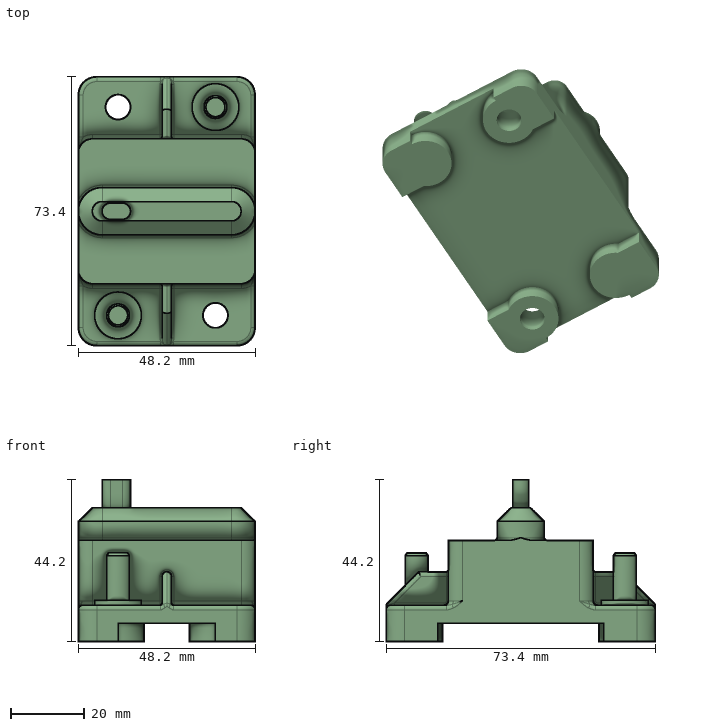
import cadquery as cq

width = 48.2
length = 73.4
base_top = 10.0
base_corner_radius = 5.0
edge_radius = 1.25

block_length = 39.5
block_top = 27.7
block_corner_radius = 3.8

ridge_half_width = 6.45
ridge_shoulder_z = 32.8
ridge_top = 36.55
ridge_top_half_width = 2.65
ridge_foot_radius = 0.7

lever_length = 7.8
lever_width = 4.4
lever_top = 44.2
lever_x = ridge_half_width - (width - lever_length) / 2

rib_width = 2.6
rib_top = 19.1
rib_slope_start_y = 27.8
rib_crest_radius = 1.25
rib_foot_radius = 0.6

station_x = 13.3
station_y = 28.4
hole_diameter = 6.75

foot_height = 5.0
foot_inner_y = 22.6
foot_boss_radius = 7.1

stud_diameter = 6.25
stud_top = 24.2
stud_tip_height = 0.7
stud_tip_inset = 0.5
washer_diameter = 12.8
washer_thickness = 1.3

SLACK = 0.04


def edges_within(solid, low_corner, high_corner):
    """Edges of the solid whose centres lie inside a box with a little slack."""
    low = [value - SLACK for value in low_corner]
    high = [value + SLACK for value in high_corner]
    return solid.edges(cq.selectors.BoxSelector(low, high))


def make_base():
    plate = cq.Workplane("XY").box(width, length, base_top, centered=(True, True, False))
    return plate.edges("|Z").fillet(base_corner_radius)


def make_block():
    block = cq.Workplane("XY").box(width, block_length, block_top, centered=(True, True, False))
    return block.edges("|Z").fillet(block_corner_radius)


def make_rib():
    """Rib at the front, its rounded crest level near the block and then falling at 45 degrees to the rim."""
    rib_end = -length / 2
    end_top = rib_top - (length / 2 - rib_slope_start_y)
    rib = (
        cq.Workplane("YZ")
        .polyline([
            (0, foot_height),
            (rib_end, foot_height),
            (rib_end, end_top),
            (-rib_slope_start_y, rib_top),
            (0, rib_top),
        ])
        .close()
        .extrude(rib_width / 2, both=True)
    )
    crest = rib.faces(">Z or (not(<Z or >X or <X or >Y or <Y))").edges("not(|X)")
    return crest.fillet(rib_crest_radius)


def make_ridge():
    """Round-ended ridge with sloping flanks and a flared foot, clipped flush with the block's sides."""
    ridge = (
        cq.Workplane("XY")
        .slot2D(width, 2 * ridge_half_width)
        .extrude(ridge_top)
        .faces(">Z")
        .edges()
        .chamfer(ridge_top - ridge_shoulder_z, ridge_half_width - ridge_top_half_width)
    )
    wide_slab = cq.Workplane("XY").box(2 * width, block_length, block_top, centered=(True, True, False))
    flared = wide_slab.union(ridge)
    foot_line = (0, ridge_half_width, block_top)
    flared = edges_within(flared, foot_line, foot_line).fillet(ridge_foot_radius)
    clip_length = 2 * (ridge_half_width + ridge_foot_radius)
    return flared.intersect(cq.Workplane("XY").box(width, clip_length, 2 * ridge_top))


def make_lever():
    return (
        cq.Workplane("XY")
        .workplane(offset=block_top)
        .center(lever_x, 0)
        .slot2D(lever_length, lever_width)
        .extrude(lever_top - block_top)
    )


def make_underside_clearance():
    """Space under the base, leaving a foot with a round boss at each corner."""
    foot_width = width / 2 - station_x
    foot_length = length / 2 - foot_inner_y
    clearance = cq.Workplane("XY").box(width, length, foot_height, centered=(True, True, False))
    for x_side in (-1, 1):
        for y_side in (-1, 1):
            foot = (
                cq.Workplane("XY")
                .center(x_side * (width - foot_width) / 2, y_side * (length - foot_length) / 2)
                .rect(foot_width, foot_length)
                .extrude(foot_height)
            )
            boss = (
                cq.Workplane("XY")
                .center(x_side * station_x, y_side * station_y)
                .circle(foot_boss_radius)
                .extrude(foot_height)
            )
            clearance = clearance.cut(foot).cut(boss)
    return clearance


def round_block_foot(body):
    """Concave rounding where the front of the block meets the base."""
    y = -block_length / 2
    return edges_within(body, (-width / 4, y, base_top), (width / 4, y, base_top)).fillet(edge_radius)


def round_rib_foot(body):
    """Concave rounding where the rib meets the block and the base."""
    y = -block_length / 2
    side_x = rib_width / 2
    outline = edges_within(body, (-side_x, y, base_top + edge_radius), (side_x, y, rib_top))
    return outline.fillet(rib_foot_radius)


def round_rim(body):
    """Convex rounding of the front upper rim, over the end of the rib as well."""
    y = -length / 2
    rim = edges_within(body, (-width / 2, y, base_top), (width / 2, y, base_top + rib_foot_radius / 4))
    return rim.fillet(edge_radius)


def make_body():
    """Base, block and ribs: a front half joined to its copy turned about the vertical axis."""
    body = round_block_foot(make_base().union(make_block()))
    body = round_rib_foot(body.union(make_rib()))
    body = round_rim(body)
    rear_space = cq.Workplane("XY").box(width, length, block_top, centered=(True, False, False))
    front_half = body.cut(rear_space)
    rear_half = front_half.rotate((0, 0, 0), (0, 0, 1), 180)
    return front_half.union(rear_half)


def make_housing():
    body = make_body().union(make_ridge()).union(make_lever())
    body = body.cut(make_underside_clearance())
    holes = (
        cq.Workplane("XY")
        .pushPoints([(-station_x, station_y), (station_x, -station_y)])
        .circle(hole_diameter / 2)
        .extrude(block_top)
    )
    return body.cut(holes)


def make_stud(x, y):
    """Round stud with a bevelled tip and a washer-shaped collar resting on the base."""
    washer = cq.Workplane("XY").circle(washer_diameter / 2).extrude(washer_thickness)
    shank = (
        cq.Workplane("XY")
        .circle(stud_diameter / 2)
        .extrude(stud_top - base_top)
        .faces(">Z")
        .edges()
        .chamfer(stud_tip_height, stud_tip_inset)
    )
    return washer.union(shank).translate((x, y, base_top))


housing = make_housing()
studs = [make_stud(side * station_x, side * station_y) for side in (-1, 1)]
result = cq.Compound.makeCompound([housing.val(), *[stud.val() for stud in studs]])